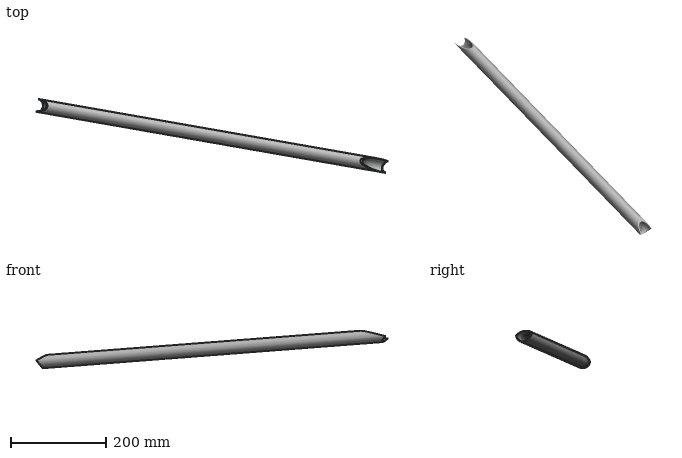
import cadquery as cq
import math

outer_radius = 14.0
wall = 1.5

axis_run = cq.Vector(100, -17.5, 7.7)

start_ridge_at = -373.0
start_ridge_height = 2.0
start_top_length = 22.0
start_bottom_length = 11.0
start_roll = -6

end_ridge_at = 371.0
end_ridge_height = -4.5
end_top_length = 55.0
end_bottom_length = 10.0
end_roll = -12

stock_half_length = 441

clearance = 2 * outer_radius


def wedge(ridge_at, ridge_height, top_length, bottom_length, inward, roll):
    """Region to keep: a prism closed at one end by two faces meeting in a ridge."""
    top_slope = (outer_radius - ridge_height) / top_length
    bottom_slope = (outer_radius + ridge_height) / bottom_length
    back_at = inward * stock_half_length
    top_at = ridge_at + inward * (clearance - ridge_height) / top_slope
    bottom_at = ridge_at + inward * (clearance + ridge_height) / bottom_slope
    outline = [
        (ridge_at, ridge_height),
        (top_at, clearance),
        (back_at, clearance),
        (back_at, -clearance),
        (bottom_at, -clearance),
    ]
    prism = cq.Workplane("XZ").polyline(outline).close().extrude(clearance, both=True)
    return prism.rotate((0, 0, 0), (1, 0, 0), roll)


tube = (
    cq.Workplane("YZ", origin=(-stock_half_length, 0, 0))
    .circle(outer_radius)
    .circle(outer_radius - wall)
    .extrude(2 * stock_half_length)
)
start_wedge = wedge(
    start_ridge_at, start_ridge_height, start_top_length, start_bottom_length, 1, start_roll
)
end_wedge = wedge(end_ridge_at, end_ridge_height, end_top_length, end_bottom_length, -1, end_roll)
straight = tube.intersect(start_wedge).intersect(end_wedge)

lift = math.degrees(math.atan2(axis_run.z, math.hypot(axis_run.x, axis_run.y)))
swing = math.degrees(math.atan2(axis_run.y, axis_run.x))
result = straight.rotate((0, 0, 0), (0, 1, 0), -lift).rotate((0, 0, 0), (0, 0, 1), swing)